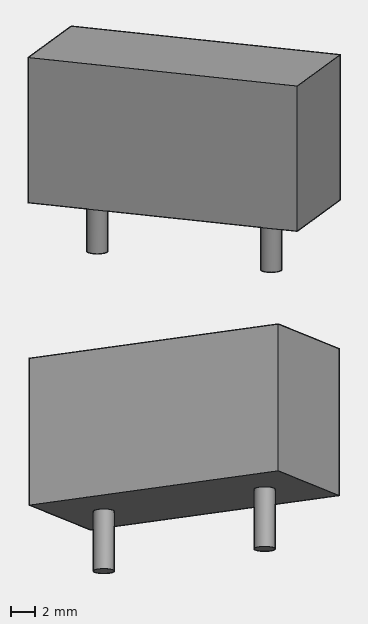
import cadquery as cq

BODY_LENGTH = 24.0
BODY_WIDTH = 10.1
TOTAL_HEIGHT = 17.7

PIN_DIAMETER = 1.78
PIN_LENGTH = 5.1
PIN_SPACING = 15.5

BODY_HEIGHT = TOTAL_HEIGHT - PIN_LENGTH


def make_body():
    """Plain rectangular block standing on Z = 0."""
    return cq.Workplane("XY").box(BODY_LENGTH, BODY_WIDTH, BODY_HEIGHT, centered=(True, True, False))


def make_pin(x_position):
    """Straight lead pin that hangs from the underside of the body."""
    return cq.Workplane("XY").center(x_position, 0).circle(PIN_DIAMETER / 2).extrude(-PIN_LENGTH)


body = make_body()
pins = []
for side in (-1, 1):
    pin = make_pin(side * PIN_SPACING / 2)
    pins.append(pin.val())

result = cq.Compound.makeCompound([body.val(), *pins])